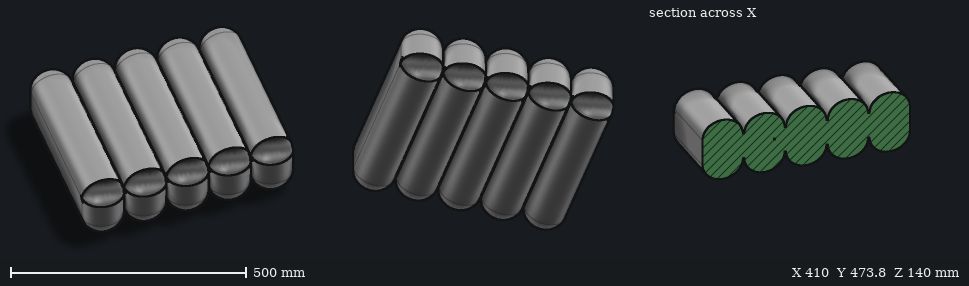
import cadquery as cq

pod_count = 5
total_length = 410.0
total_width = 473.8
total_height = 140.0
pod_pitch = 95.2
bulge = 40.5

core_length = total_length - 2 * bulge
core_height = total_height - 2 * bulge
pod_width = total_width - (pod_count - 1) * pod_pitch


def bulge_profile(plane):
    """Half ellipse: its straight side spans the pod width on local x, its arc rises along local y."""
    half_width = pod_width / 2
    return (
        cq.Workplane(plane)
        .moveTo(half_width, 0)
        .ellipseArc(half_width, bulge, 0, 180, startAtCurrent=True)
        .close()
    )


def make_top_bulge():
    """Rounded top running along the core, for a pod centred on the origin."""
    plane = cq.Plane(origin=(-core_length / 2, 0, core_height / 2), xDir=(0, 1, 0), normal=(1, 0, 0))
    return bulge_profile(plane).extrude(core_length)


def make_end_bulge():
    """Rounded upright end on the +X side."""
    plane = cq.Plane(origin=(core_length / 2, 0, -core_height / 2), xDir=(0, -1, 0), normal=(0, 0, 1))
    return bulge_profile(plane).extrude(core_height)


def make_corner():
    """Upper +X corner: the half ellipse swept a quarter turn about its straight side."""
    plane = cq.Plane(origin=(core_length / 2, 0, core_height / 2), xDir=(0, 1, 0), normal=(1, 0, 0))
    return bulge_profile(plane).revolve(90, (0, 0), (1, 0))


def make_pod():
    """Box rounded on its top, bottom and both ends, with flat sides, centred on the origin."""
    pod = cq.Workplane("XY").box(core_length, pod_width, core_height)
    top = make_top_bulge()
    end = make_end_bulge()
    corner = make_corner()
    upper_corners = corner.union(corner.mirror("YZ"))
    pod = pod.union(top).union(top.mirror("XY"))
    pod = pod.union(end).union(end.mirror("YZ"))
    return pod.union(upper_corners).union(upper_corners.mirror("XY"))


def make_part():
    """Row of pods whose narrow gaps are bridged by the shared core."""
    part = cq.Workplane("XY").box(core_length, total_width, core_height)
    pod = make_pod()
    for index in range(pod_count):
        y = (index - (pod_count - 1) / 2) * pod_pitch
        part = part.union(pod.translate((0, y, 0)))
    return part.clean()


result = make_part()